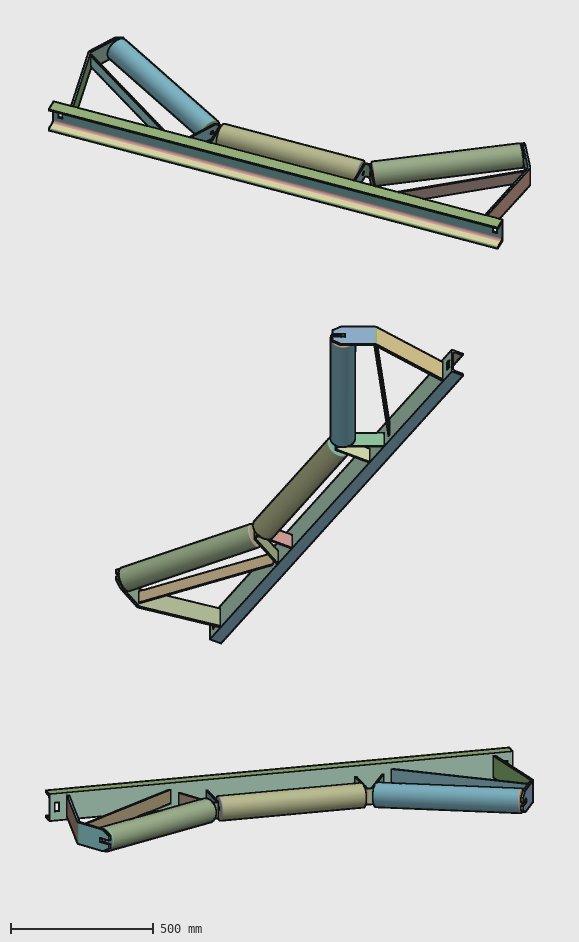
import cadquery as cq
import math

BEAM_LENGTH = 1700.0
BEAM_HEIGHT = 100.0
BEAM_DEPTH = 46.0
WEB_THICKNESS = 5.0
FLANGE_THICKNESS = 8.0
ROOT_RADIUS = 10.0
TOE_RADIUS = 5.0
SLOT_WIDTH = 15.0
SLOT_HEIGHT = 32.0
SLOT_END_DISTANCE = 27.0

ROLLER_DIAMETER = 88.0
ROLLER_LENGTH = 530.0
ROLLER_EDGE_RADIUS = 4.2
SHAFT_DIAMETER = 14.0
SHAFT_STUB = 2.0
BRACKET_GAP = 5.0

WING_ANGLE = 30.0
WING_TILT = 2.0
CENTRE_ROLLER_Y = 120.0
ROLLER_AXIS_Z = -19.5
WING_INNER_END = cq.Vector(-308.0, 130.0, ROLLER_AXIS_Z)

OUTER_THICKNESS = 8.0
OUTER_WIDTH = 80.0
OUTER_FOOT_X = -782.0
OUTER_KNEE_DROP = 114.0
OUTER_TIP_RISE = 37.0
OUTER_BEND_RADIUS = 8.0
TIP_CHAMFER_LENGTH = 30.0
TIP_CHAMFER_WIDTH = 17.0
SHAFT_SLOT_WIDTH = 15.0

INNER_THICKNESS = 5.0
INNER_WIDTH = 60.0
INNER_BRACKET_TOP = 143.0
INNER_BEND_RADIUS = 3.0

STRUT_THICKNESS = 6.0
STRUT_WIDTH = 51.0
STRUT_FOOT_X = -410.0
STRUT_HEAD_DROP = 110.0

INNER_OVERHANG = BRACKET_GAP + INNER_THICKNESS
OUTER_OVERHANG = BRACKET_GAP + OUTER_THICKNESS + SHAFT_STUB

WING_OUT = cq.Vector(-math.cos(math.radians(WING_ANGLE)), math.sin(math.radians(WING_ANGLE)))
WING_UP = cq.Vector(math.sin(math.radians(WING_ANGLE)), math.cos(math.radians(WING_ANGLE)))


def on_left_wing(out, up):
    """Point in the XY plane: `out` along the left wing from its inner end, `up` across it."""
    point = WING_INNER_END + WING_OUT * out + WING_UP * up
    return cq.Vector(point.x, point.y)


def wing_point_at_height(out, y):
    """Point at height Y = `y` on the line across the left wing that lies `out` along it."""
    foot = on_left_wing(out, 0)
    return on_left_wing(out, (y - foot.y) / WING_UP.y)


def place_on_left_wing(shape):
    """Carry a shape whose axis runs along -X from the origin onto the left wing axis."""
    tilted = shape.rotate((0, 0, 0), (0, 1, 0), WING_TILT)
    turned = tilted.rotate((0, 0, 0), (0, 0, 1), -WING_ANGLE)
    return turned.translate(WING_INNER_END)


def both_sides(left):
    """The left body and its mirror image on the right."""
    return [left.val(), left.mirror("YZ").val()]


def bent_strip(path, thickness, width, bend_radius=0):
    """Flat bar of the given width along Z that follows a path in XY and ends on the plane Y = 0."""
    directions = [(end - start).normalized() for start, end in zip(path, path[1:])]
    left_side = []
    right_side = []
    inner_bends = []
    outer_bends = []
    for i, point in enumerate(path):
        before = directions[max(i - 1, 0)]
        after = directions[min(i, len(directions) - 1)]
        mitre = (before + after).normalized()
        reach = thickness / 2 / mitre.dot(before)
        offset = cq.Vector(-mitre.y, mitre.x) * reach
        left_side.append(point + offset)
        right_side.append(point - offset)
        turn = before.cross(after).z
        if turn != 0:
            inward = offset * math.copysign(1, turn)
            inner_bends.append(point + inward)
            outer_bends.append(point - inward)
    outline = [point.toTuple()[:2] for point in left_side + right_side[::-1]]
    strip = cq.Workplane("XY").polyline(outline).close().extrude(width / 2, both=True)
    for corner in inner_bends:
        strip = strip.edges(cq.NearestToPointSelector(corner.toTuple())).fillet(bend_radius)
    for corner in outer_bends:
        strip = strip.edges(cq.NearestToPointSelector(corner.toTuple())).fillet(bend_radius + thickness)
    space_behind_web = cq.Workplane("XY").box(
        BEAM_LENGTH, BEAM_LENGTH, BEAM_LENGTH, centered=(True, False, True)
    )
    return strip.intersect(space_behind_web)


def make_channel():
    half = BEAM_HEIGHT / 2
    inner_half = half - FLANGE_THICKNESS
    channel = (
        cq.Workplane("YZ")
        .polyline(
            [
                (0, -half),
                (-BEAM_DEPTH, -half),
                (-BEAM_DEPTH, -inner_half),
                (-WEB_THICKNESS, -inner_half),
                (-WEB_THICKNESS, inner_half),
                (-BEAM_DEPTH, inner_half),
                (-BEAM_DEPTH, half),
                (0, half),
            ]
        )
        .close()
        .extrude(BEAM_LENGTH / 2, both=True)
    )
    for side in (-1, 1):
        root = (0, -WEB_THICKNESS, side * inner_half)
        toe = (0, -BEAM_DEPTH, side * inner_half)
        channel = channel.edges(cq.NearestToPointSelector(root)).fillet(ROOT_RADIUS)
        channel = channel.edges(cq.NearestToPointSelector(toe)).fillet(TOE_RADIUS)
    slot_x = BEAM_LENGTH / 2 - SLOT_END_DISTANCE
    slots = (
        cq.Workplane("XZ")
        .pushPoints([(-slot_x, 0), (slot_x, 0)])
        .rect(SLOT_WIDTH, SLOT_HEIGHT)
        .extrude(WEB_THICKNESS)
    )
    return channel.cut(slots)


def make_shaft(outer_overhang):
    """Shaft along -X, with the inner roller end at the origin."""
    return (
        cq.Workplane("YZ", origin=(INNER_OVERHANG, 0, 0))
        .circle(SHAFT_DIAMETER / 2)
        .extrude(-INNER_OVERHANG - ROLLER_LENGTH - outer_overhang)
    )


def make_roller(outer_overhang):
    """Roller along -X, with its inner end at the origin."""
    tube = cq.Workplane("YZ").circle(ROLLER_DIAMETER / 2).extrude(-ROLLER_LENGTH)
    tube = tube.edges().fillet(ROLLER_EDGE_RADIUS)
    return tube.union(make_shaft(outer_overhang))


def place_in_centre(shape):
    return shape.translate((ROLLER_LENGTH / 2, CENTRE_ROLLER_Y, ROLLER_AXIS_Z))


outer_plate_out = ROLLER_LENGTH + BRACKET_GAP + OUTER_THICKNESS / 2
inner_plate_out = -BRACKET_GAP - INNER_THICKNESS / 2
outer_knee = on_left_wing(outer_plate_out, -OUTER_KNEE_DROP)


def make_outer_bracket():
    tip = on_left_wing(outer_plate_out, OUTER_TIP_RISE)
    foot = cq.Vector(OUTER_FOOT_X, 0)
    below_foot = foot + (foot - outer_knee).normalized() * OUTER_THICKNESS
    bracket = bent_strip([below_foot, outer_knee, tip], OUTER_THICKNESS, OUTER_WIDTH, OUTER_BEND_RADIUS)

    plate = cq.Plane(origin=tip.toTuple(), xDir=WING_UP.toTuple(), normal=(-WING_OUT).toTuple())
    half = OUTER_WIDTH / 2
    for side in (-1, 1):
        corner = (
            cq.Workplane(plate)
            .polyline(
                [(0, side * half), (-TIP_CHAMFER_LENGTH, side * half), (0, side * (half - TIP_CHAMFER_WIDTH))]
            )
            .close()
            .extrude(OUTER_THICKNESS, both=True)
        )
        bracket = bracket.cut(corner)

    shaft_z = ROLLER_AXIS_Z + outer_plate_out * math.sin(math.radians(WING_TILT))
    slot_depth = OUTER_TIP_RISE + SHAFT_SLOT_WIDTH / 2
    slot = (
        cq.Workplane(cq.Plane(origin=(tip.x, tip.y, shaft_z), xDir=plate.xDir, normal=plate.zDir))
        .rect(2 * slot_depth, SHAFT_SLOT_WIDTH)
        .extrude(OUTER_THICKNESS, both=True)
    )
    return bracket.cut(slot)


def make_inner_bracket():
    crown_y = INNER_BRACKET_TOP - INNER_THICKNESS / 2
    upright_x = -ROLLER_LENGTH / 2 - BRACKET_GAP - INNER_THICKNESS / 2
    path = [
        wing_point_at_height(inner_plate_out, -INNER_THICKNESS),
        wing_point_at_height(inner_plate_out, crown_y),
        cq.Vector(upright_x, crown_y),
        cq.Vector(upright_x, -INNER_THICKNESS),
    ]
    bracket = bent_strip(path, INNER_THICKNESS, INNER_WIDTH, INNER_BEND_RADIUS)
    bracket = bracket.translate((0, 0, ROLLER_AXIS_Z))
    wing_shaft = place_on_left_wing(make_shaft(OUTER_OVERHANG))
    centre_shaft = place_in_centre(make_shaft(INNER_OVERHANG))
    return bracket.cut(wing_shaft).cut(centre_shaft)


def make_strut(bracket):
    """Brace from just above the knee of the outer bracket down to the channel."""
    head = on_left_wing(outer_plate_out, -STRUT_HEAD_DROP)
    foot = cq.Vector(STRUT_FOOT_X, 0)
    below_foot = foot + (foot - head).normalized() * STRUT_THICKNESS
    return bent_strip([below_foot, head], STRUT_THICKNESS, STRUT_WIDTH).cut(bracket)


channel = make_channel()
centre_roller = place_in_centre(make_roller(INNER_OVERHANG))
wing_rollers = both_sides(place_on_left_wing(make_roller(OUTER_OVERHANG)))
outer_bracket = make_outer_bracket()
outer_brackets = both_sides(outer_bracket)
inner_brackets = both_sides(make_inner_bracket())
struts = both_sides(make_strut(outer_bracket))

result = cq.Compound.makeCompound(
    [channel.val(), centre_roller.val(), *wing_rollers, *outer_brackets, *inner_brackets, *struts]
)